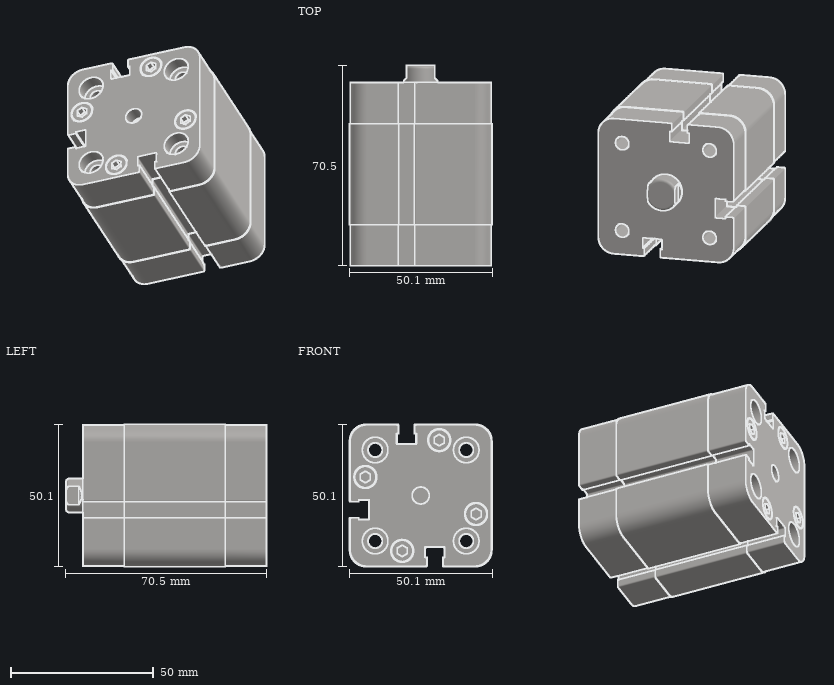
import cadquery as cq
import math

BARREL_LENGTH = 35.5
CAP_LENGTH = 14.5
ROD_LENGTH = 6.0
BODY_LENGTH = BARREL_LENGTH + 2 * CAP_LENGTH

BARREL_SIDE = 50.1
BARREL_CORNER_RADIUS = 6.0
CAP_INSET = 0.25
CAP_SIDE = BARREL_SIDE - 2 * CAP_INSET
CAP_CORNER_RADIUS = BARREL_CORNER_RADIUS - CAP_INSET

SLOT_OFFSET = 5.0
SLOT_LIP_RADIUS = 0.5
SLOT_FLOOR_RADIUS = 0.4
SLOT_FLOOR_HEIGHT = 18.2
SLOT_STEP_HEIGHT = 21.75
BARREL_SLOT_MOUTH = 5.5
BARREL_SLOT_WIDTH = 6.65
CAP_SLOT_CLEARANCE = 0.2
CAP_MOUTH_CLEARANCE = 0.1
CAP_SLOT_MOUTH = BARREL_SLOT_MOUTH + 2 * CAP_MOUTH_CLEARANCE
CAP_SLOT_WIDTH = BARREL_SLOT_WIDTH + 2 * CAP_SLOT_CLEARANCE
SLOT_ANGLES = (0, 90, 180)

MOUNT_SPACING = 32.0
MOUNT_HOLE_DIAMETER = 4.92
MOUNT_BORE_DIAMETER = 9.0
MOUNT_BORE_DEPTH = 5.6

SCREW_X = 6.5
SCREW_Z = 19.45
SCREW_BORE_DIAMETER = 8.0
SCREW_HEAD_DIAMETER = 7.5
SCREW_HEAD_LENGTH = 4.0
SOCKET_ACROSS_FLATS = 3.5
SOCKET_DEPTH = 3.0
SCREW_ANGLES = (0, 90, 180, 270)

CENTRE_HOLE_DIAMETER = 6.0
CENTRE_HOLE_DEPTH = 6.0

ROD_DIAMETER = 12.0
ROD_TIP_RADIUS = 1.25
ROD_ACROSS_FLATS = 10.0
ROD_FLAT_LENGTH = 4.5

CUT_MARGIN = 1.0


def front_plane(y):
    """Plane across the part at the given Y: local x = X, local y = Z, normal = -Y."""
    return cq.Workplane("XZ", origin=(0, y, 0))


def turned_about_y(shape, angle):
    """Turn a shape about the Y axis, anticlockwise as seen from -Y."""
    return shape.rotate((0, 0, 0), (0, -1, 0), angle)


def slot_cutter(y_start, length, side, mouth, width, clearance):
    """T-slot in the +Z side with rounded outer edges at its mouth and rounded floor corners."""
    outer = side / 2
    top = outer + CUT_MARGIN
    lip = SLOT_LIP_RADIUS
    bend = lip * (1 - math.sqrt(0.5))
    floor = SLOT_FLOOR_HEIGHT - clearance
    left_mouth = -SLOT_OFFSET - mouth / 2
    right_mouth = -SLOT_OFFSET + mouth / 2
    left_floor = -SLOT_OFFSET - width / 2
    right_floor = -SLOT_OFFSET + width / 2
    cutter = (
        front_plane(y_start + length)
        .moveTo(left_floor, floor)
        .lineTo(right_floor, floor)
        .lineTo(right_floor, SLOT_STEP_HEIGHT)
        .lineTo(right_mouth, SLOT_STEP_HEIGHT)
        .lineTo(right_mouth, outer - lip)
        .threePointArc((right_mouth + bend, outer - bend), (right_mouth + lip, outer))
        .lineTo(right_mouth + lip, top)
        .lineTo(left_mouth - lip, top)
        .lineTo(left_mouth - lip, outer)
        .threePointArc((left_mouth - bend, outer - bend), (left_mouth, outer - lip))
        .lineTo(left_mouth, SLOT_STEP_HEIGHT)
        .lineTo(left_floor, SLOT_STEP_HEIGHT)
        .close()
        .extrude(length)
    )
    return cutter.faces("<Z").edges("|Y").fillet(SLOT_FLOOR_RADIUS)


def slotted_block(y_start, length, side, corner_radius, mouth, width, clearance):
    """Rounded square block along Y with the T-slots cut along its sides."""
    block = front_plane(y_start + length).rect(side, side).extrude(length)
    block = block.edges("|Y").fillet(corner_radius)
    cutter = slot_cutter(y_start, length, side, mouth, width, clearance)
    for angle in SLOT_ANGLES:
        block = block.cut(turned_about_y(cutter, angle))
    return block


def cap(y_start):
    return slotted_block(
        y_start, CAP_LENGTH, CAP_SIDE, CAP_CORNER_RADIUS,
        CAP_SLOT_MOUTH, CAP_SLOT_WIDTH, CAP_SLOT_CLEARANCE,
    )


def barrel():
    return slotted_block(
        CAP_LENGTH, BARREL_LENGTH, BARREL_SIDE, BARREL_CORNER_RADIUS,
        BARREL_SLOT_MOUTH, BARREL_SLOT_WIDTH, 0,
    )


def rod():
    """Round rod with a rounded tip and two flats that run out at 45 degrees."""
    shaft = front_plane(BODY_LENGTH).circle(ROD_DIAMETER / 2).extrude(-ROD_LENGTH)
    shaft = shaft.faces(">Y").edges().fillet(ROD_TIP_RADIUS)
    tip_y = BODY_LENGTH + ROD_LENGTH
    flat_end_y = tip_y - ROD_FLAT_LENGTH
    flat_x = ROD_ACROSS_FLATS / 2
    outer_x = ROD_DIAMETER / 2 + CUT_MARGIN
    cutter = (
        cq.Workplane("XY")
        .moveTo(flat_x, tip_y + CUT_MARGIN)
        .lineTo(flat_x, flat_end_y)
        .lineTo(outer_x, flat_end_y - (outer_x - flat_x))
        .lineTo(outer_x, tip_y + CUT_MARGIN)
        .close()
        .extrude(ROD_DIAMETER / 2, both=True)
    )
    return shaft.cut(cutter).cut(cutter.mirror("YZ"))


def mounting_holes():
    """Through holes with counterbores in the front face."""
    corners = front_plane(0).rect(MOUNT_SPACING, MOUNT_SPACING, forConstruction=True).vertices()
    holes = corners.circle(MOUNT_HOLE_DIAMETER / 2).extrude(-BODY_LENGTH)
    bores = corners.circle(MOUNT_BORE_DIAMETER / 2).extrude(-MOUNT_BORE_DEPTH)
    return holes.union(bores)


def screw_recess(angle):
    """Ring gap around the screw head at the given angle, with its upright hexagon socket."""
    gap = (
        front_plane(0)
        .circle(SCREW_BORE_DIAMETER / 2)
        .circle(SCREW_HEAD_DIAMETER / 2)
        .extrude(-SCREW_HEAD_LENGTH)
    )
    socket_across_corners = SOCKET_ACROSS_FLATS / math.cos(math.pi / 6)
    socket = front_plane(0).polygon(6, socket_across_corners).extrude(-SOCKET_DEPTH)
    recess = gap.add(turned_about_y(socket, 90)).combine()
    turn = math.radians(angle)
    x = SCREW_X * math.cos(turn) - SCREW_Z * math.sin(turn)
    z = SCREW_X * math.sin(turn) + SCREW_Z * math.cos(turn)
    return recess.translate((x, 0, z))


def centre_hole():
    return front_plane(0).circle(CENTRE_HOLE_DIAMETER / 2).extrude(-CENTRE_HOLE_DEPTH)


rear_cap_y = CAP_LENGTH + BARREL_LENGTH
body = cap(0).union(barrel()).union(cap(rear_cap_y)).union(rod())
body = body.cut(mounting_holes()).cut(centre_hole())
for screw_angle in SCREW_ANGLES:
    body = body.cut(screw_recess(screw_angle))

result = body